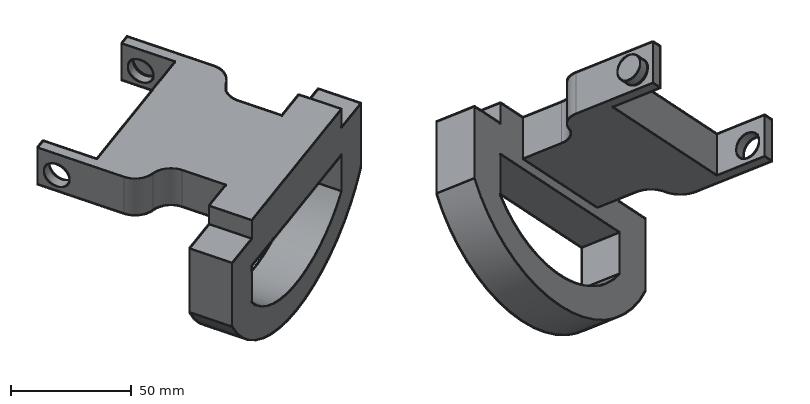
import cadquery as cq
import math

length = 100.0
ring_width = 115.0
height = 79.0

thickness = 20.0
plate_width = 80.0
neck_width = 50.0
blend_radius = 10.0
blend_mid_x = 50.0
arm_length = 25.1
arm_thickness = 5.1

ring_depth = 20.0
ring_top_drop = 10.0
opening_top_drop = 24.8
outer_radius = 65.3
inner_radius = 50.6

pin_x = 9.0
pin_drop = 11.5
pin_diameter = 12.0
boss_projection = 4.7
hole_floor = 0.5

ring_x = length - ring_depth
arc_center_z = outer_radius - height


def d_shape(width, top_z, radius):
    """Solid across the ring depth: flat top, straight sides and a round bottom."""
    half = width / 2
    side_end_z = arc_center_z - math.sqrt(radius**2 - half**2)
    return (
        cq.Workplane("YZ", origin=(ring_x, 0, 0))
        .moveTo(-half, side_end_z)
        .lineTo(-half, top_z)
        .lineTo(half, top_z)
        .lineTo(half, side_end_z)
        .threePointArc((0, arc_center_z - radius), (-half, side_end_z))
        .close()
        .extrude(ring_depth)
    )


def plate_half():
    """Half of the plate on the +Y side, with the S-shaped step down to the neck."""
    edge_y = plate_width / 2
    neck_y = neck_width / 2
    sweep = math.acos(1 - (edge_y - neck_y) / (2 * blend_radius))
    arc_run = blend_radius * math.sin(sweep)
    mid_run = blend_radius * math.sin(sweep / 2)
    mid_drop = blend_radius * (1 - math.cos(sweep / 2))
    blend_start_x = blend_mid_x - arc_run
    blend_end_x = blend_mid_x + arc_run
    return (
        cq.Workplane("XY")
        .moveTo(0, edge_y)
        .lineTo(blend_start_x, edge_y)
        .threePointArc(
            (blend_start_x + mid_run, edge_y - mid_drop),
            (blend_mid_x, (edge_y + neck_y) / 2),
        )
        .threePointArc((blend_end_x - mid_run, neck_y + mid_drop), (blend_end_x, neck_y))
        .lineTo(ring_x, neck_y)
        .lineTo(ring_x, edge_y)
        .lineTo(length, edge_y)
        .lineTo(length, 0)
        .lineTo(arm_length, 0)
        .lineTo(arm_length, edge_y - arm_thickness)
        .lineTo(0, edge_y - arm_thickness)
        .close()
        .extrude(-thickness)
    )


def pin_cylinder(start_y, end_y):
    """Cylinder on the pin axis between two Y positions."""
    return (
        cq.Workplane("XZ", origin=(pin_x, start_y, -pin_drop))
        .circle(pin_diameter / 2)
        .extrude(start_y - end_y)
    )


half_plate = plate_half()
plate = half_plate.union(half_plate.mirror("XZ"))

ring = d_shape(ring_width, -ring_top_drop, outer_radius)
opening = d_shape(plate_width, -opening_top_drop, inner_radius)

arm_outer_y = plate_width / 2
boss = pin_cylinder(arm_outer_y - hole_floor, arm_outer_y + boss_projection)
holes = pin_cylinder(-arm_outer_y, arm_outer_y - hole_floor)

result = plate.union(ring).cut(opening).cut(holes).union(boss).clean()